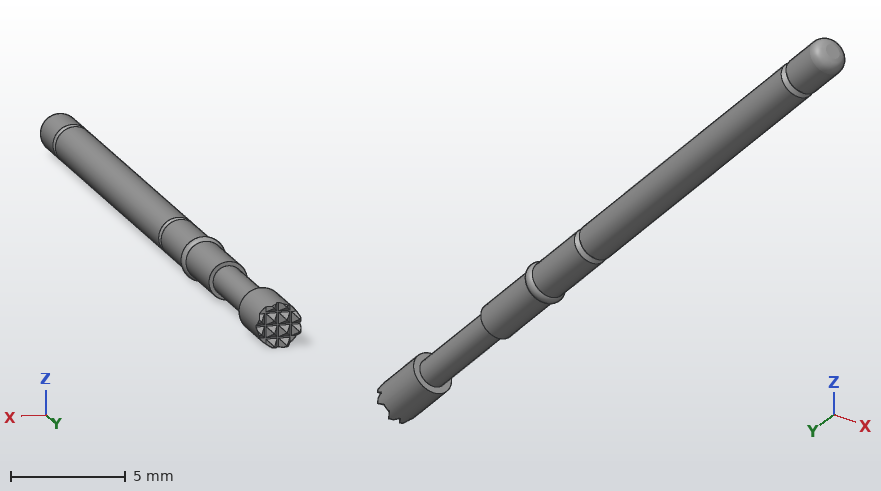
import cadquery as cq
import math

total_length = 34.0
head_diameter = 2.0
head_length = 3.0
plunger_diameter = 1.35
plunger_reach = 8.0
barrel_diameter = 1.75
tail_fillet = 0.5

collar_diameter = head_diameter
collar_width = 0.5
collar_setback = 3.75

crimp_width = 0.37
crimp_depth = 0.187
tail_crimp_y = 2.55
front_crimp_y = 18.55

tooth_pitch = 0.58
tooth_height = 0.45
tooth_angle = 60.0
groove_rows = (-2, -1, 0, 1, 2)
outer_row_offset = 1.5 * tooth_pitch

barrel_length = total_length - plunger_reach
collar_y = barrel_length - collar_setback


def rod(diameter, start_y, end_y):
    """Solid cylinder on the Y axis."""
    return cq.Workplane("XZ", origin=(0, start_y, 0)).circle(diameter / 2).extrude(start_y - end_y)


def turned(profile):
    """Close an open (radius, Y) profile and sweep it into a ring around the Y axis."""
    return profile.close().revolve(360, (0, 0, 0), (0, 1, 0))


def collar():
    """Press ring with a round outer bead."""
    inner_radius = plunger_diameter / 2
    seat_radius = barrel_diameter / 2
    rear_y = collar_y - collar_width / 2
    front_y = collar_y + collar_width / 2
    return turned(
        cq.Workplane("XY")
        .moveTo(inner_radius, rear_y)
        .lineTo(seat_radius, rear_y)
        .threePointArc((collar_diameter / 2, collar_y), (seat_radius, front_y))
        .lineTo(inner_radius, front_y)
    )


def crimp(y):
    """V-shaped ring to cut from the barrel."""
    radius = barrel_diameter / 2
    return turned(
        cq.Workplane("XY")
        .moveTo(radius, y - crimp_width / 2)
        .lineTo(radius - crimp_depth, y)
        .lineTo(radius, y + crimp_width / 2)
    )


def tooth_groove(offset):
    """Groove with sloping flanks and a narrow flat floor, along Z across the head, offset in X."""
    half_mouth = tooth_pitch / 2
    half_floor = half_mouth - tooth_height * math.tan(math.radians(tooth_angle / 2))
    floor_y = total_length - tooth_height
    return (
        cq.Workplane("XY")
        .moveTo(offset - half_mouth, total_length)
        .lineTo(offset - half_floor, floor_y)
        .lineTo(offset + half_floor, floor_y)
        .lineTo(offset + half_mouth, total_length)
        .close()
        .extrude(head_diameter / 2, both=True)
    )


def corner_clearance():
    """Four blocks that remove the slivers left where the corner teeth of the grid would stand."""
    block_centers = [
        (x_side * outer_row_offset, z_side * outer_row_offset)
        for x_side in (-1, 1)
        for z_side in (-1, 1)
    ]
    return (
        cq.Workplane("XZ", origin=(0, total_length, 0))
        .pushPoints(block_centers)
        .rect(tooth_pitch, tooth_pitch)
        .extrude(tooth_height)
    )


def serrated_head():
    """Thick end of the plunger with a grid of twelve pointed teeth, four rows with no corner teeth."""
    head = rod(head_diameter, total_length - head_length, total_length)
    for row in groove_rows:
        groove = tooth_groove(row * tooth_pitch)
        head = head.cut(groove)
        head = head.cut(groove.rotate((0, 0, 0), (0, 1, 0), 90))
    return head.cut(corner_clearance())


barrel = rod(barrel_diameter, 0, barrel_length).faces("<Y").edges().fillet(tail_fillet)
barrel = barrel.union(collar())
for crimp_y in (tail_crimp_y, front_crimp_y):
    barrel = barrel.cut(crimp(crimp_y))

plunger = rod(plunger_diameter, barrel_length, total_length - head_length)

result = barrel.union(plunger).union(serrated_head())